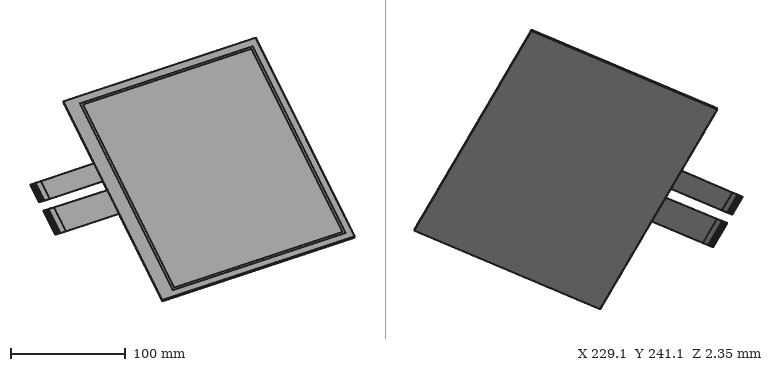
import cadquery as cq

panel_width = 229.1
panel_length = 181.1
panel_thickness = 2.35

active_width = 211.1
active_length = 158.3
active_offset_x = 0.68
active_offset_y = 3.2
groove_width = 2.14
groove_depth = 0.07

overall_length = 241.1
tail_length = overall_length - panel_length
tail_bottom = 1.05
cover_thickness = 0.2
film_thickness = 0.1
stiffener_thickness = 0.2
stiffener_length = 10.0
contact_length = 5.0
contact_thickness = 0.05
contact_pitch = 0.5
contact_width = 0.3

tail_sizes = [
    {"right": -23.0, "root_width": 20.9, "end_width": 20.45},
    {"right": 14.4, "root_width": 27.3, "end_width": 27.8},
]

panel_front = -panel_length / 2
tail_end = panel_front - tail_length
contact_start = tail_end + contact_length
stiffener_start = tail_end + stiffener_length
film_bottom = tail_bottom + cover_thickness
film_top = film_bottom + film_thickness


def make_panel():
    """Plate with the groove around the active area cut into its top face."""
    plate = cq.Workplane("XY").rect(panel_width, panel_length).extrude(panel_thickness)
    groove = (
        cq.Workplane("XY")
        .workplane(offset=panel_thickness)
        .center(active_offset_x, active_offset_y)
        .rect(active_width + 2 * groove_width, active_length + 2 * groove_width)
        .rect(active_width, active_length)
        .extrude(-groove_depth)
    )
    return plate.cut(groove)


def make_contacts(right, end_width):
    """Row of contact strips under the free end, with a bare margin at both sides."""
    contact_count = int(end_width / contact_pitch) - 1
    return (
        cq.Workplane("XY")
        .workplane(offset=film_bottom)
        .center(right - end_width / 2, tail_end + contact_length / 2)
        .rarray(contact_pitch, contact_length, contact_count, 1)
        .rect(contact_width, contact_length)
        .extrude(-contact_thickness)
    )


def make_tail(right, root_width, end_width):
    """Layered tail whose left side slants slightly from the panel to the free end."""

    def left_at(y):
        return right - end_width - (root_width - end_width) * (y - tail_end) / tail_length

    def layer(front, back, bottom, thickness):
        outline = [
            (right, front),
            (right, back),
            (left_at(back), back),
            (left_at(front), front),
        ]
        return cq.Workplane("XY").workplane(offset=bottom).polyline(outline).close().extrude(thickness)

    cover = layer(contact_start, panel_front, tail_bottom, cover_thickness)
    film = layer(tail_end, panel_front, film_bottom, film_thickness)
    stiffener = layer(tail_end, stiffener_start, film_top, stiffener_thickness)
    return film.union(cover).union(stiffener).union(make_contacts(right, end_width))


result = make_panel()
for size in tail_sizes:
    result = result.union(make_tail(**size))